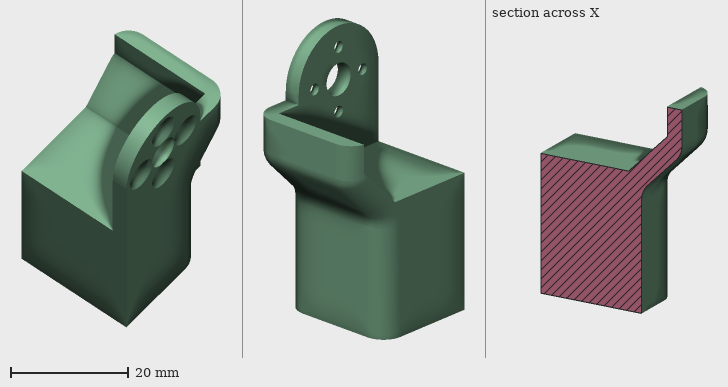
import cadquery as cq
import math

width = 23.0
plate_thickness = 3.0
plate_radius = 10.0
height = 50.0
axis_z = height - plate_radius

front_y = -plate_radius
lower_back_y = plate_radius
overhang = 8.0
upper_back_y = lower_back_y + overhang
lower_bend_z = 22.25
upper_bend_z = lower_bend_z + overhang
shelf_top_z = 38.4
bend_radius = 4.0
bend_angle = math.radians(45)
edge_radius = 4.0

rear_wall = 3.0
block_top_z = 25.4
wall_front_y = upper_back_y - rear_wall
slope_run = 7.6
slope_start_y = wall_front_y - slope_run
slope_end_z = block_top_z + slope_run

shaft_diameter = 6.0
screw_diameter = 2.1
screw_circle_radius = 6.0
screw_count = 4
countersink_depth = 2.0

inner_x = width - plate_thickness


def bend_points(corner_y, corner_z, side):
    """Start, middle and end of the arc joining a vertical face to the 45 degree slope.

    The corner is where the two faces would meet if sharp. side is +1 when the
    vertical face lies above the corner and -1 when it lies below. The points run
    from the vertical face to the slope.
    """
    half_angle = bend_angle / 2
    center_y = corner_y - side * bend_radius
    center_z = corner_z + side * bend_radius * math.tan(half_angle)

    def arc_point(angle):
        return (
            center_y + side * bend_radius * math.cos(angle),
            center_z - side * bend_radius * math.sin(angle),
        )

    return arc_point(0), arc_point(half_angle), arc_point(bend_angle)


def make_body():
    """Solid block with bent rear face and rounded rear side edges."""
    low_vertical, low_middle, low_slope = bend_points(lower_back_y, lower_bend_z, -1)
    top_vertical, top_middle, top_slope = bend_points(upper_back_y, upper_bend_z, 1)
    body = (
        cq.Workplane("YZ")
        .moveTo(front_y, 0)
        .lineTo(lower_back_y, 0)
        .lineTo(*low_vertical)
        .threePointArc(low_middle, low_slope)
        .lineTo(*top_slope)
        .threePointArc(top_middle, top_vertical)
        .lineTo(upper_back_y, shelf_top_z)
        .lineTo(front_y, shelf_top_z)
        .close()
        .extrude(width)
    )
    margin = 1.0
    lower_rear = cq.selectors.BoxSelector(
        (-margin, lower_back_y - margin, 0),
        (width + margin, lower_back_y + margin, lower_bend_z),
    )
    rear_edges = body.faces("<X or >X").edges(lower_rear)
    return rear_edges.fillet(edge_radius)


def make_open_space():
    """Space above the block, between the side plate and the rear wall."""
    return (
        cq.Workplane("YZ")
        .moveTo(front_y, block_top_z)
        .lineTo(slope_start_y, block_top_z)
        .lineTo(wall_front_y, slope_end_z)
        .lineTo(wall_front_y, shelf_top_z)
        .lineTo(front_y, shelf_top_z)
        .close()
        .extrude(inner_x)
    )


def make_arch():
    """Rounded top of the side plate."""
    return (
        cq.Workplane("YZ", origin=(inner_x, 0, 0))
        .moveTo(front_y, block_top_z)
        .lineTo(front_y, axis_z)
        .threePointArc((0, height), (plate_radius, axis_z))
        .lineTo(plate_radius, block_top_z)
        .close()
        .extrude(plate_thickness)
    )


def make_shaft_hole():
    """Shaft hole through the side plate."""
    return (
        cq.Workplane("YZ", origin=(inner_x, 0, axis_z))
        .circle(shaft_diameter / 2)
        .extrude(plate_thickness)
    )


def make_screw_hole(angle):
    """Screw hole at an angle about the shaft axis, with a 45 degree countersink from the outer face."""
    hole_y = screw_circle_radius * math.cos(angle)
    hole_z = axis_z + screw_circle_radius * math.sin(angle)
    radius = screw_diameter / 2
    along_x = cq.Vector(1, 0, 0)
    hole = cq.Solid.makeCylinder(radius, plate_thickness, cq.Vector(inner_x, hole_y, hole_z), along_x)
    countersink = cq.Solid.makeCone(
        radius,
        radius + countersink_depth,
        countersink_depth,
        cq.Vector(width - countersink_depth, hole_y, hole_z),
        along_x,
    )
    return hole.fuse(countersink)


result = make_body().cut(make_open_space()).union(make_arch()).cut(make_shaft_hole())
for index in range(screw_count):
    result = result.cut(cq.Workplane(make_screw_hole(math.tau * index / screw_count)))